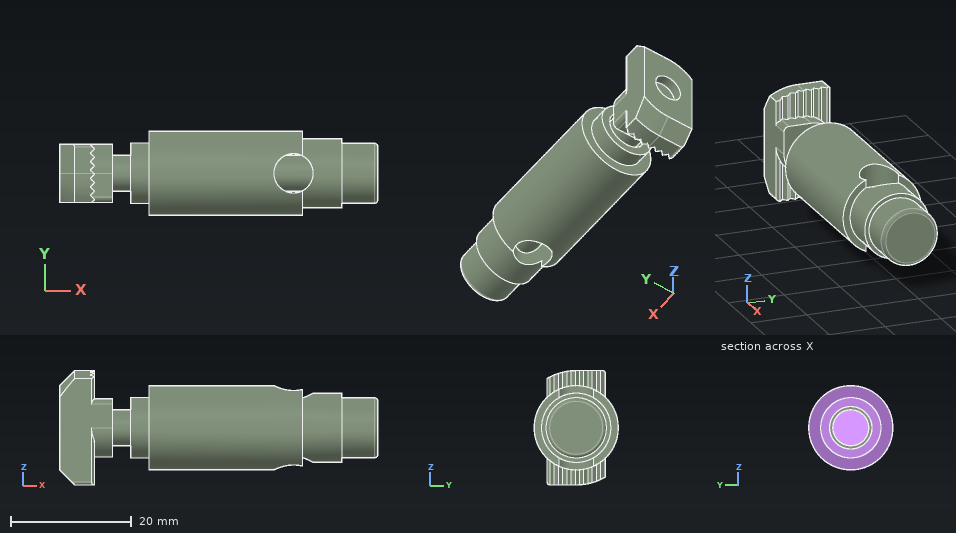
import cadquery as cq
import math

HEAD_LENGTH = 5.8
HEAD_HEIGHT = 19.0
HEAD_WIDTH = 9.7
HEAD_CHAMFER = 2.5
HEAD_CORNER_RADIUS = 0.5
SOCKET_DIAMETER = 5.0
SOCKET_DEPTH = 1.8

GROOVE_PITCH = 1.4
GROOVE_DEPTH = GROOVE_PITCH / 2
GROOVE_COUNT = 8
FIRST_GROOVE_Y = 4.75

NECK_END = 8.8
NECK_CORNER_RADIUS = 0.9

SHANK_DIAMETER = 6.0

BUSH_START = 11.8
BUSH_DIAMETER = 10.1
BUSH_BORE = 7.0
BUSH_END = 31.8

HOUSING_START = 14.8
BARREL_DIAMETER = 14.0
BARREL_END = 40.3
COLLAR_DIAMETER = 11.5
COLLAR_END = 46.8
TIP_DIAMETER = 10.0
TIP_END = 52.8
TIP_FILLET = 0.6

CROSS_HOLE_DIAMETER = 6.5
CROSS_HOLE_X = 38.8


def rod(diameter, start, end):
    """Solid cylinder along X."""
    return cq.Workplane("YZ", origin=(start, 0, 0)).circle(diameter / 2).extrude(end - start)


def quarter_turn_outline(start, width, height):
    """Rectangle in YZ with its top -Y and bottom +Y corners rounded about the X axis."""
    half_width = width / 2
    radius = height / 2
    arc_end_z = math.sqrt(radius**2 - half_width**2)
    mid_angle = math.asin(half_width / radius) / 2
    mid_y = radius * math.sin(mid_angle)
    mid_z = radius * math.cos(mid_angle)
    return (
        cq.Workplane("YZ", origin=(start, 0, 0))
        .moveTo(0, radius)
        .threePointArc((-mid_y, mid_z), (-half_width, arc_end_z))
        .lineTo(-half_width, -radius)
        .lineTo(0, -radius)
        .threePointArc((mid_y, -mid_z), (half_width, -arc_end_z))
        .lineTo(half_width, radius)
        .close()
    )


def make_head():
    head = quarter_turn_outline(0, HEAD_WIDTH, HEAD_HEIGHT).extrude(HEAD_LENGTH)
    head = head.faces("<X").edges("not |Z").chamfer(HEAD_CHAMFER)
    head = head.edges("|X").edges(">Z or <Z").fillet(HEAD_CORNER_RADIUS)
    for index in range(GROOVE_COUNT):
        root_y = FIRST_GROOVE_Y - index * GROOVE_PITCH
        groove = (
            cq.Workplane("XY")
            .moveTo(HEAD_LENGTH - GROOVE_DEPTH, root_y)
            .lineTo(HEAD_LENGTH, root_y + GROOVE_PITCH / 2)
            .lineTo(HEAD_LENGTH, root_y - GROOVE_PITCH / 2)
            .close()
            .extrude(HEAD_HEIGHT / 2, both=True)
        )
        head = head.cut(groove)
    return head.cut(rod(SOCKET_DIAMETER, 0, SOCKET_DEPTH))


def make_neck():
    """Block as wide as the head, with two large and two small rounded corners."""
    half = HEAD_WIDTH / 2
    mid = half * math.sqrt(0.5)
    neck_start = HEAD_LENGTH - GROOVE_DEPTH
    neck = (
        cq.Workplane("YZ", origin=(neck_start, 0, 0))
        .moveTo(0, half)
        .lineTo(-half, half)
        .lineTo(-half, 0)
        .threePointArc((-mid, -mid), (0, -half))
        .lineTo(half, -half)
        .lineTo(half, 0)
        .threePointArc((mid, mid), (0, half))
        .close()
        .extrude(NECK_END - neck_start)
    )
    for side, end in (("<Y", ">Z"), (">Y", "<Z")):
        neck = neck.faces(side).edges("|X").edges(end).fillet(NECK_CORNER_RADIUS)
    return neck


def make_bolt():
    return make_head().union(make_neck()).union(rod(SHANK_DIAMETER, NECK_END, COLLAR_END))


def make_bush():
    return rod(BUSH_DIAMETER, BUSH_START, BUSH_END).cut(rod(BUSH_BORE, BUSH_START, BUSH_END))


def make_housing():
    housing = rod(BARREL_DIAMETER, HOUSING_START, BARREL_END)
    housing = housing.union(rod(COLLAR_DIAMETER, BARREL_END, COLLAR_END))
    housing = housing.union(rod(TIP_DIAMETER, COLLAR_END, TIP_END))
    housing = housing.faces(">X").edges().fillet(TIP_FILLET)
    housing = housing.cut(rod(BUSH_DIAMETER, HOUSING_START, BUSH_END))
    housing = housing.cut(rod(SHANK_DIAMETER, HOUSING_START, COLLAR_END))
    cross_hole = (
        cq.Workplane("XY")
        .center(CROSS_HOLE_X, 0)
        .circle(CROSS_HOLE_DIAMETER / 2)
        .extrude(BARREL_DIAMETER, both=True)
    )
    return housing.cut(cross_hole)


bolt = make_bolt()
bush = make_bush()
housing = make_housing()

result = cq.Compound.makeCompound([bolt.val(), bush.val(), housing.val()])